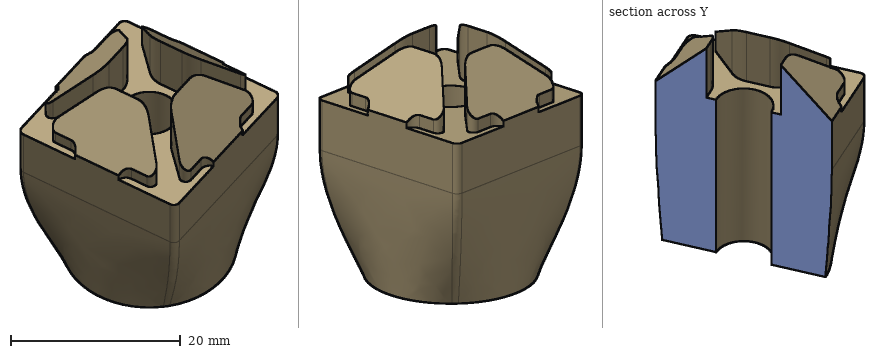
import cadquery as cq
import math

height = 29.4
width = 22.35
corner_radius = 0.8
base_diameter = 20.7
bore_diameter = 7.0
transition_height = 15.88
deck_height = 22.23
section_count = 7

prong_inner = 4.7
channel_width = 2.75
notch_depth = 0.97
notch_radius = 1.2
notch_start = 4.3
inner_radius = 3.0
tip_radius = 0.74
slope_angle = 45.0

half_width = width / 2
base_radius = base_diameter / 2


def blended_point(x, y, progress):
    """Move a point of the square outline radially towards the base circle."""
    blend = (3 * progress**2 - progress**3) / 2
    scale = 1 + blend * (base_radius / math.hypot(x, y) - 1)
    return x * scale, y * scale


def rotated(point, quarter):
    x, y = point
    for _ in range(quarter):
        x, y = -y, x
    return x, y


def transition_section(progress):
    """Closed outline of four bulging sides and four corner arcs."""
    flat_end = half_width - corner_radius
    corner_mid = flat_end + corner_radius * math.sqrt(0.5)
    side_start = blended_point(half_width, -flat_end, progress)
    side_mid = blended_point(half_width, 0, progress)
    side_end = blended_point(half_width, flat_end, progress)
    arc_mid = blended_point(corner_mid, corner_mid, progress)

    level = transition_height * (1 - progress)
    outline = cq.Workplane("XY", origin=(0, 0, level)).moveTo(*side_start)
    for quarter in range(4):
        end = rotated(side_end, quarter)
        if progress == 0:
            outline = outline.lineTo(*end)
        else:
            outline = outline.threePointArc(rotated(side_mid, quarter), end)
        next_start = rotated(side_start, quarter + 1)
        outline = outline.threePointArc(rotated(arc_mid, quarter), next_start)
    return outline.wire().val()


def make_transition():
    last = section_count - 1
    sections = [transition_section(1 - i / last) for i in range(section_count)]
    return cq.Workplane(cq.Solid.makeLoft(sections))


def make_block():
    block = cq.Workplane("XY", origin=(0, 0, transition_height)).rect(width, width)
    return block.extrude(deck_height - transition_height).edges("|Z").fillet(corner_radius)


def make_prong():
    """Prong on the -Y side, with notched outer corners and a sloping top."""
    outer_flat = half_width - notch_depth
    channel_offset = channel_width / math.sqrt(2)
    inner_half = prong_inner - channel_offset
    tip_half = outer_flat - channel_offset
    prong_height = height - deck_height

    body = (
        cq.Workplane("XY", origin=(0, 0, deck_height))
        .polyline([
            (-inner_half, -prong_inner),
            (inner_half, -prong_inner),
            (tip_half, -outer_flat),
            (-tip_half, -outer_flat),
        ])
        .close()
        .extrude(prong_height)
    )
    body = body.edges("|Z and >Y").fillet(inner_radius)
    body = body.edges("|Z and (<X or >X)").fillet(tip_radius)

    pad = (
        cq.Workplane("XY", origin=(0, -half_width + notch_depth / 2, deck_height))
        .rect(2 * notch_start, notch_depth)
        .extrude(prong_height)
    )
    notches = (
        cq.Workplane("XY", origin=(0, -outer_flat - notch_radius, deck_height))
        .pushPoints([(-notch_start, 0), (notch_start, 0)])
        .circle(notch_radius)
        .extrude(prong_height)
    )
    body = body.union(pad.cut(notches))

    side_height = height - (half_width - prong_inner) * math.tan(math.radians(slope_angle))
    slope = (
        cq.Workplane("YZ")
        .polyline([(-half_width, side_height), (-prong_inner, height), (-half_width, height)])
        .close()
        .extrude(half_width, both=True)
    )
    return body.cut(slope)


result = make_transition().union(make_block())
prong = make_prong()
for quarter in range(4):
    result = result.union(prong.rotate((0, 0, 0), (0, 0, 1), 90 * quarter))
bore = cq.Workplane("XY").circle(bore_diameter / 2).extrude(height)
result = result.cut(bore)